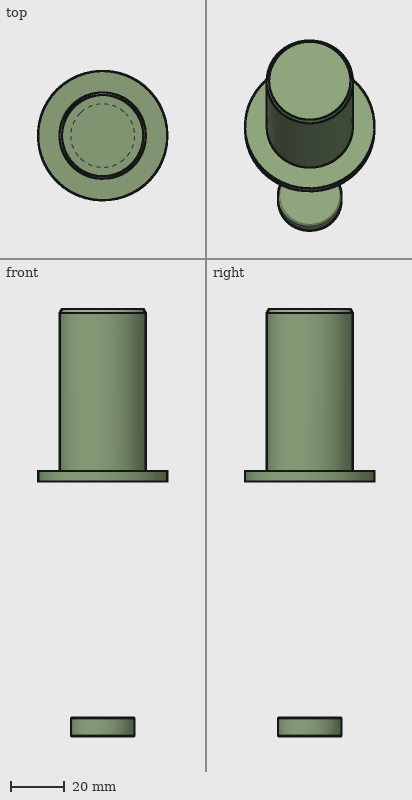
import cadquery as cq

total_height = 158.5

flange_diameter = 48.0
flange_thickness = 4.0
pin_diameter = 32.0
pin_height = 64.0
pin_chamfer_height = 1.6
pin_chamfer_width = 1.0

disc_diameter = 23.6
disc_thickness = 7.0
disc_rim_radius = 0.6


def make_headed_pin():
    """Round pin standing on a flange, with its top edge chamfered."""
    flange_bottom = total_height - pin_height
    flange_top = flange_bottom + flange_thickness
    pin_radius = pin_diameter / 2
    flange_radius = flange_diameter / 2
    return (
        cq.Workplane("XZ")
        .moveTo(0, flange_bottom)
        .lineTo(flange_radius, flange_bottom)
        .lineTo(flange_radius, flange_top)
        .lineTo(pin_radius, flange_top)
        .lineTo(pin_radius, total_height - pin_chamfer_height)
        .lineTo(pin_radius - pin_chamfer_width, total_height)
        .lineTo(0, total_height)
        .close()
        .revolve(360, (0, 0), (0, 1))
    )


def make_disc():
    """Flat disc on the pin axis, standing on Z = 0 with both rims rounded."""
    return (
        cq.Workplane("XY")
        .circle(disc_diameter / 2)
        .extrude(disc_thickness)
        .faces("<Z or >Z")
        .edges()
        .fillet(disc_rim_radius)
    )


headed_pin = make_headed_pin()
disc = make_disc()

result = cq.Compound.makeCompound([headed_pin.val(), disc.val()])